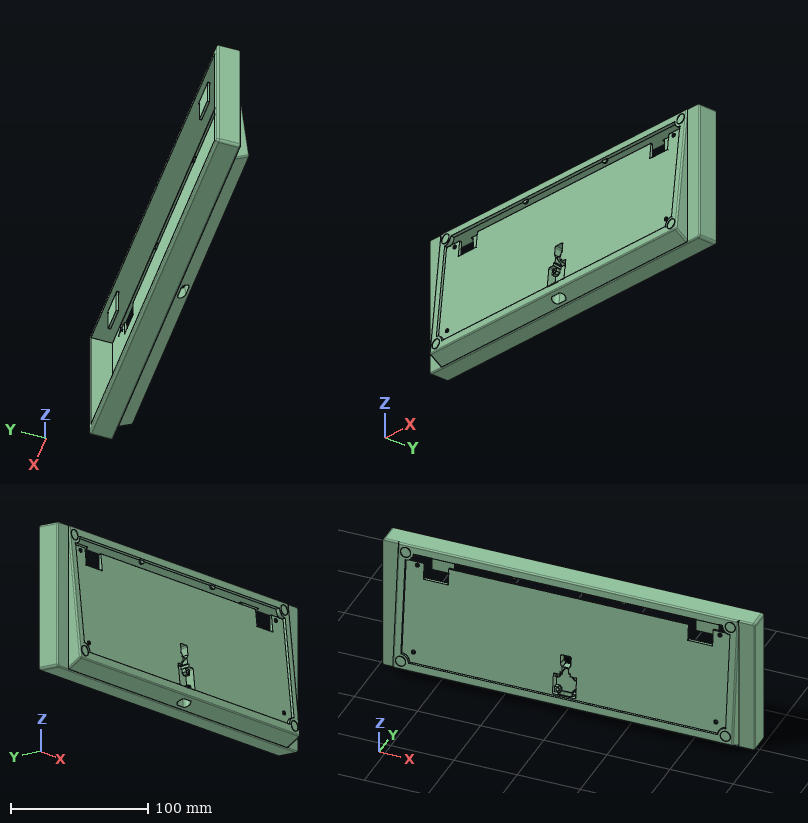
import cadquery as cq
import math

LENGTH = 295.7
HEIGHT = 110.3
BOX_DEPTH = 18.3
CORNER_RADIUS = 2.0
BACK_RADIUS = 1.8
FRONT_RADIUS = 1.03
WALL = 6.0
FLOOR = 1.8

TILT = math.radians(6)
WEDGE_HALF_LENGTH = 134.8
WEDGE_DEPTH = 11.2
WEDGE_TIP_Z = 8.0
SLANT = math.radians(32)
WEDGE_EDGE_RADIUS = 1.2

RECESS_HALF_LENGTH = 128.5
RECESS_BOTTOM_Z = 14.5
RECESS_TOP_Z = 103.8
RECESS_DEPTH = 2.0
FOOT_DIAMETER = 8.0
FOOT_DEPTH = 0.3
FOOT_BOSS_RADIUS = 6.2

SLOT_BOTTOM_Z = 97.3
SLOT_BOSS_X = 43.5
SLOT_BOSS_RADIUS = 2.7

WINDOW_X = 104.7
WINDOW_WIDTH = 19.5
WINDOW_BOTTOM_Z = 84.3
TAB_CLEARANCE = 0.5
TAB_WIDTH = WINDOW_WIDTH - 2 * TAB_CLEARANCE
TAB_FRONT_Y = 12.7
TAB_THICKNESS = 1.8
TAB_ROOT_RADIUS = 1.5

SCREW_X = 119.8
SCREW_ROWS_Z = (23.0, 94.3)
SCREW_DIAMETER = 1.57
SCREW_HEAD_DIAMETER = 3.0
SCREW_HEAD_DEPTH = 1.0
SCREW_DEPTH = 4.7

POCKET_HALF_WIDTH = 9.2
POCKET_BOTTOM_Z = 15.7
POCKET_TOP_Z = 32.5
POCKET_DEPTH = 7.0
POCKET_CORNER_RADIUS = 1.0
STANDOFF_SIZE = 4.5
STANDOFF_CHAMFER = 1.8
STANDOFF_HEIGHT = 3.5
STANDOFF_HOLE_DIAMETER = 2.45
STANDOFF_HOLE_INSET = 2.5

TONGUE_HALF_WIDTH = 4.0
TONGUE_TOP_Z = 34.5
NECK_HALF_WIDTH = 2.7
NECK_TOP_Z = 39.0
NECK_TOP_DEPTH = 1.0
OPENING_HALF_WIDTH = 4.0
OPENING_SHOULDER_Z = 41.7
OPENING_TOP_Z = 48.8
OPENING_RADIUS = 1.2

PLUG_LENGTH = 13.0
PLUG_HEIGHT = 6.5
PLUG_DEPTH = 6.5

SIDES = (-1, 1)
FEET = [(side * RECESS_HALF_LENGTH, z) for side in SIDES for z in (RECESS_BOTTOM_Z, RECESS_TOP_Z)]

ACROSS_FACE = cq.selectors.ParallelDirSelector(cq.Vector(0, -math.cos(TILT), math.sin(TILT)))

TIP_CORNER_DEPTH = WEDGE_DEPTH - WEDGE_EDGE_RADIUS + WEDGE_EDGE_RADIUS * (
    (math.cos(TILT) + math.sin(SLANT)) / (1 + math.sin(SLANT - TILT))
)
WEDGE_BOTTOM_Z = WEDGE_TIP_Z - TIP_CORNER_DEPTH * math.tan(SLANT)
FACE_FOOT_Y = -TIP_CORNER_DEPTH - WEDGE_TIP_Z * math.tan(TILT)


def tilted(z):
    """Distance up the tilted face that reaches height z."""
    return z / math.cos(TILT)


def face_plane(depth=0.0):
    """Workplane parallel to the tilted face, sunk into the wedge by depth; its normal points outward."""
    plane = cq.Plane(
        origin=(0, FACE_FOOT_Y, 0),
        xDir=(1, 0, 0),
        normal=(0, -math.cos(TILT), math.sin(TILT)),
    )
    return cq.Workplane(plane).workplane(offset=-depth)


def face_block(half_width, bottom_z, top_z, start_depth, thickness, x=0.0):
    """Block square to the tilted face; it begins at start_depth and goes inward."""
    bottom = tilted(bottom_z)
    top = tilted(top_z)
    return (
        face_plane(start_depth)
        .center(x, (bottom + top) / 2)
        .rect(2 * half_width, top - bottom)
        .extrude(-thickness)
    )


def face_cylinders(points, diameter, start_depth, thickness):
    """Round pins square to the tilted face at (x, z) points."""
    places = [(x, tilted(z)) for x, z in points]
    return face_plane(start_depth).pushPoints(places).circle(diameter / 2).extrude(-thickness)


def ahead_of_floor(shape):
    """Part of a shape on the -Y side of the cavity floor, so that cuts spare the tabs and top wall."""
    keep = cq.Workplane("XY").box(2 * LENGTH, LENGTH, 2 * LENGTH).translate((0, FLOOR - LENGTH / 2, 0))
    return shape.intersect(keep)


def outer_body():
    box = (
        cq.Workplane("XY")
        .box(LENGTH, BOX_DEPTH, HEIGHT, centered=(True, False, False))
        .edges("|Y").fillet(CORNER_RADIUS)
        .faces(">Y").edges().fillet(BACK_RADIUS)
        .faces("<Y").edges().fillet(FRONT_RADIUS)
    )
    top_y = FACE_FOOT_Y + HEIGHT * math.tan(TILT)
    outer_edges = cq.selectors.BoxSelector((-LENGTH, -LENGTH, 0), (LENGTH, top_y / 2, LENGTH))
    wedge = (
        cq.Workplane("YZ")
        .polyline([
            (0, WEDGE_BOTTOM_Z),
            (-TIP_CORNER_DEPTH, WEDGE_TIP_Z),
            (top_y, HEIGHT),
            (FLOOR, HEIGHT),
            (FLOOR, WEDGE_BOTTOM_Z),
        ])
        .close()
        .extrude(WEDGE_HALF_LENGTH, both=True)
        .edges(outer_edges)
        .fillet(WEDGE_EDGE_RADIUS)
    )
    return box.union(wedge)


def cavity():
    return (
        cq.Workplane("XY")
        .box(LENGTH - 2 * WALL, BOX_DEPTH, HEIGHT - 2 * WALL, centered=(True, False, False))
        .translate((0, FLOOR, WALL))
    )


def recess_area(bottom_z, start_depth, thickness):
    """Recess outline above bottom_z, less the bosses around the feet."""
    area = face_block(RECESS_HALF_LENGTH, bottom_z, RECESS_TOP_Z, start_depth, thickness)
    return area.cut(face_cylinders(FEET, 2 * FOOT_BOSS_RADIUS, start_depth, thickness))


def screw_holes():
    points = [(side * SCREW_X, z) for side in SIDES for z in SCREW_ROWS_Z]
    shafts = face_cylinders(points, SCREW_DIAMETER, RECESS_DEPTH, SCREW_DEPTH)
    heads = face_cylinders(points, SCREW_HEAD_DIAMETER, RECESS_DEPTH, SCREW_HEAD_DEPTH)
    return shafts.union(heads)


def standoffs():
    """Bevelled blocks in the pocket corners, each with a screw hole."""
    bottom = tilted(POCKET_BOTTOM_Z)
    top = tilted(POCKET_TOP_Z)
    floor_depth = RECESS_DEPTH + POCKET_DEPTH
    blocks = cq.Workplane("XY")
    for side in SIDES:
        for corner_z, inward in ((bottom, 1), (top, -1)):
            x = side * POCKET_HALF_WIDTH
            bevel_start = STANDOFF_SIZE - STANDOFF_CHAMFER
            block = (
                face_plane(floor_depth)
                .polyline([
                    (x, corner_z),
                    (x - side * STANDOFF_SIZE, corner_z),
                    (x - side * STANDOFF_SIZE, corner_z + inward * bevel_start),
                    (x - side * bevel_start, corner_z + inward * STANDOFF_SIZE),
                    (x, corner_z + inward * STANDOFF_SIZE),
                ])
                .close()
                .extrude(STANDOFF_HEIGHT)
            )
            hole = (
                face_plane(floor_depth)
                .center(x - side * STANDOFF_HOLE_INSET, corner_z + inward * STANDOFF_HOLE_INSET)
                .circle(STANDOFF_HOLE_DIAMETER / 2)
                .extrude(STANDOFF_HEIGHT)
            )
            blocks = blocks.add(block.cut(hole))
    return blocks.combine()


def connector_pocket():
    """Rounded pocket with corner standoffs and a narrower tongue on its upper side."""
    pocket = face_block(POCKET_HALF_WIDTH, POCKET_BOTTOM_Z, POCKET_TOP_Z, RECESS_DEPTH, POCKET_DEPTH)
    pocket = pocket.edges(ACROSS_FACE).fillet(POCKET_CORNER_RADIUS)
    tongue = face_block(TONGUE_HALF_WIDTH, POCKET_TOP_Z, TONGUE_TOP_Z, RECESS_DEPTH, POCKET_DEPTH)
    return pocket.cut(standoffs()).union(tongue)


def cable_neck():
    """Channel whose floor ramps up from the pocket floor towards the opening."""
    side_plane = cq.Plane(
        origin=(0, FACE_FOOT_Y, 0),
        xDir=(0, math.sin(TILT), math.cos(TILT)),
        normal=(1, 0, 0),
    )
    return (
        cq.Workplane(side_plane)
        .polyline([
            (tilted(TONGUE_TOP_Z), -RECESS_DEPTH),
            (tilted(OPENING_SHOULDER_Z), -RECESS_DEPTH),
            (tilted(OPENING_SHOULDER_Z), -RECESS_DEPTH - NECK_TOP_DEPTH),
            (tilted(NECK_TOP_Z), -RECESS_DEPTH - NECK_TOP_DEPTH),
            (tilted(TONGUE_TOP_Z), -RECESS_DEPTH - POCKET_DEPTH),
        ])
        .close()
        .extrude(NECK_HALF_WIDTH, both=True)
    )


def cable_opening():
    """Opening into the case that narrows to the neck at its lower end."""
    opening = (
        face_plane(RECESS_DEPTH)
        .polyline([
            (-NECK_HALF_WIDTH, tilted(NECK_TOP_Z)),
            (NECK_HALF_WIDTH, tilted(NECK_TOP_Z)),
            (OPENING_HALF_WIDTH, tilted(OPENING_SHOULDER_Z)),
            (OPENING_HALF_WIDTH, tilted(OPENING_TOP_Z)),
            (-OPENING_HALF_WIDTH, tilted(OPENING_TOP_Z)),
            (-OPENING_HALF_WIDTH, tilted(OPENING_SHOULDER_Z)),
        ])
        .close()
        .extrude(-BOX_DEPTH)
    )
    return opening.edges(ACROSS_FACE).edges(">Z").fillet(OPENING_RADIUS)


def plug_slot():
    """Round-ended slot that runs parallel to the tilted face, up into the pocket."""
    plane = cq.Plane(
        origin=(0, FACE_FOOT_Y, 0),
        xDir=(1, 0, 0),
        normal=(0, math.sin(TILT), math.cos(TILT)),
    )
    return (
        cq.Workplane(plane)
        .center(0, PLUG_DEPTH)
        .slot2D(PLUG_LENGTH, PLUG_HEIGHT)
        .extrude(tilted(POCKET_BOTTOM_Z))
    )


def tab(x):
    """Upright tab under the top wall, flared by a round at each side of its root."""
    half = TAB_WIDTH / 2
    root = half + TAB_ROOT_RADIUS
    root_z = RECESS_TOP_Z
    return (
        cq.Workplane("XZ", origin=(x, TAB_FRONT_Y, 0))
        .moveTo(-half, WINDOW_BOTTOM_Z)
        .lineTo(half, WINDOW_BOTTOM_Z)
        .lineTo(half, root_z - TAB_ROOT_RADIUS)
        .radiusArc((root, root_z), TAB_ROOT_RADIUS)
        .lineTo(root, HEIGHT - WALL)
        .lineTo(-root, HEIGHT - WALL)
        .lineTo(-root, root_z)
        .radiusArc((-half, root_z - TAB_ROOT_RADIUS), TAB_ROOT_RADIUS)
        .close()
        .extrude(-TAB_THICKNESS)
    )


body = outer_body().cut(cavity())

body = body.cut(recess_area(RECESS_BOTTOM_Z, 0, RECESS_DEPTH))
body = body.cut(face_cylinders(FEET, FOOT_DIAMETER, 0, FOOT_DEPTH))

slot_bosses = [(side * SLOT_BOSS_X, RECESS_TOP_Z) for side in SIDES]
slot = recess_area(SLOT_BOTTOM_Z, 0, BOX_DEPTH)
slot = slot.cut(face_cylinders(slot_bosses, 2 * SLOT_BOSS_RADIUS, 0, BOX_DEPTH))
body = body.cut(ahead_of_floor(slot))

for side in SIDES:
    x = side * WINDOW_X
    window = face_block(WINDOW_WIDTH / 2, WINDOW_BOTTOM_Z, SLOT_BOTTOM_Z, RECESS_DEPTH, BOX_DEPTH, x)
    body = body.cut(ahead_of_floor(window))
    body = body.union(tab(x))

body = body.cut(screw_holes())
body = body.cut(connector_pocket())
body = body.cut(cable_neck())
body = body.cut(ahead_of_floor(cable_opening()))

result = body.cut(plug_slot())